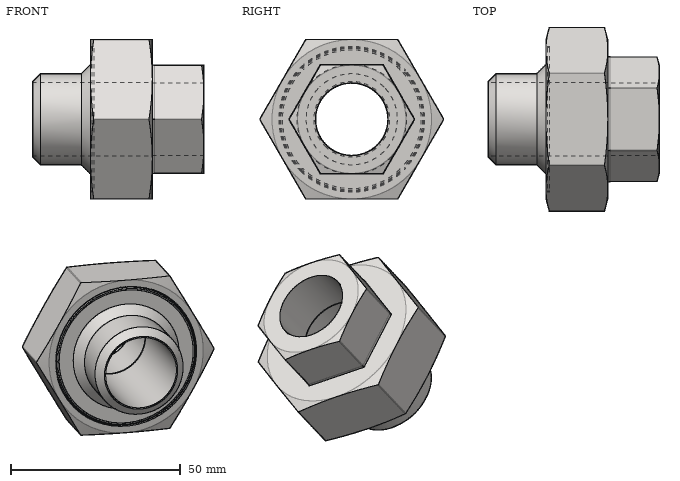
import cadquery as cq
import math

total_length = 50.4
nut_start = 17.0
nut_end = 35.2
collar_length = 0.6
collar_taper = 12.0

nut_corner_span = 54.2
corner_round = 0.25
chamfer_angle = 15.0
nut_bore_radius = 21.45

spigot_bore_radius = 10.8
spigot_radius = 13.45
spigot_bevel = 2.3
cone_base_radius = 16.15
flange_radius = 21.2
rim_radius = 20.85
flange_face_radius = 20.4
rim_drop = 0.05
groove_depth = 1.1

end_bore_radius = 10.6
end_hex_flats = 31.9

envelope_margin = 0.55

cos30 = math.cos(math.radians(30))
chamfer_slope = math.tan(math.radians(chamfer_angle))
corner_loss = corner_round * (1 / cos30 - 1)
nut_flats = (nut_corner_span + 2 * corner_loss) * cos30


def hex_prism(flats, start, end):
    """Hexagonal prism along X with two flats facing up and down."""
    return (
        cq.Workplane("YZ", origin=(start, 0, 0))
        .polygon(6, flats / cos30)
        .extrude(end - start)
    )


def revolve_profile(points):
    """Solid turned around the X axis from (x, radius) points."""
    return cq.Workplane("XY").polyline(points).close().revolve(360, (0, 0, 0), (1, 0, 0))


def turned_envelope(flats, start, end, chamfer_start):
    """Turned shape that trims hexagon corners conically, starting at the flats radius."""
    inner = flats / 2
    outer = flats / cos30 / 2 + envelope_margin
    drop = (outer - inner) * chamfer_slope
    if chamfer_start:
        start_points = [(start, inner), (start + drop, outer)]
    else:
        start_points = [(start, outer)]
    return revolve_profile([(start, 0), *start_points, (end - drop, outer), (end, inner), (end, 0)])


def rounded_hex(flats, start, end, chamfer_start):
    """Hexagon with rounded long edges and chamfered corners."""
    prism = hex_prism(flats, start, end).edges("|X").fillet(corner_round)
    return prism.intersect(turned_envelope(flats, start, end, chamfer_start))


nut = rounded_hex(nut_flats, nut_start, nut_end, True)

hex_start = nut_end + collar_length
collar = (
    cq.Workplane("YZ", origin=(hex_start, 0, 0))
    .polygon(6, end_hex_flats / cos30)
    .extrude(-collar_length, taper=-collar_taper)
)
end_piece = rounded_hex(end_hex_flats, hex_start, total_length, False)

recess = (
    cq.Workplane("YZ", origin=(nut_start, 0, 0))
    .circle(nut_bore_radius)
    .extrude(groove_depth)
)

rim_start = nut_start + rim_drop
groove_floor = nut_start + groove_depth
cone_start = nut_start - (cone_base_radius - spigot_radius)
tail_piece = revolve_profile([
    (0, 0),
    (0, spigot_radius - spigot_bevel),
    (spigot_bevel, spigot_radius),
    (cone_start, spigot_radius),
    (nut_start, cone_base_radius),
    (nut_start, flange_face_radius),
    (rim_start, flange_face_radius),
    (rim_start, rim_radius),
    (rim_start + flange_radius - rim_radius, flange_radius),
    (groove_floor, flange_radius),
    (groove_floor, 0),
])

bore = revolve_profile([
    (0, 0),
    (0, spigot_bore_radius),
    (nut_end, spigot_bore_radius),
    (nut_end, end_bore_radius),
    (total_length, end_bore_radius),
    (total_length, 0),
])

result = nut.cut(recess).union(tail_piece).union(collar).union(end_piece).cut(bore)